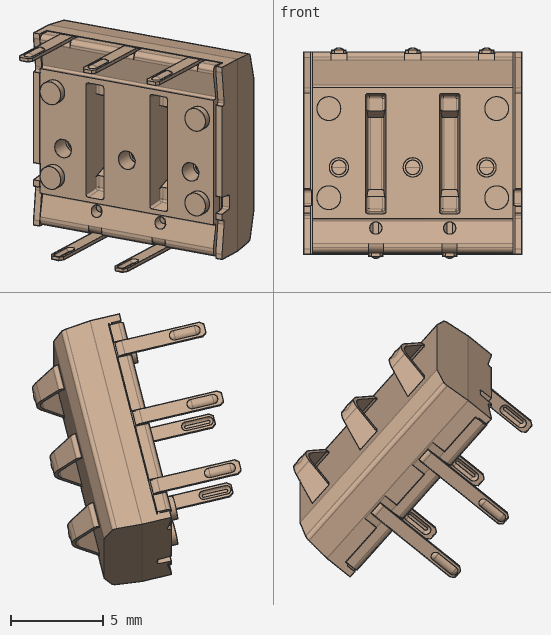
import cadquery as cq


shell_width = 11.82
shell_half_height = 5.47
shell_edge_y = 0.11
shell_lip_y = 0.83
shell_draft_y = 1.75
shell_back_y = 3.82
shell_back_half_width = 5.73
shell_corner_y = 3.32
shell_corner_z = 5.34
shell_corner_radius = 0.3
shell_back_half_height = 3.78
wall_inner_x = 5.52

wall_recess_y = 0.32
wall_flat_z = 5.18
wall_recess_z = 3.52
wall_step_z = 3.25
wall_step_radius = 0.12

window_z = -2.41
window_mouth = 0.99
window_floor = 0.8
window_floor_y = 0.89
window_fillet = 0.11
window_chamfer_x = 0.05
window_chamfer_y = 0.78

base_half_width = 5.43
base_top_z = 5.46
base_bottom_z = -5.39
base_top_radius = 0.27
base_bottom_radius = 0.28
gap_floor_y = 0.64
slope_top_z = 5.04
slope_bottom_z = -4.89
slope_depth = 0.26
step_z = 3.55
step_radius = 0.13

peg_x = 4.54
peg_z = 2.41
peg_diameter = 1.29
peg_height = 0.43

pitch = 4.0
upper_columns = (-pitch, 0.0, pitch)
lower_columns = (-pitch / 2, pitch / 2)

pin_thickness = 0.19
pin_tip_chamfer_x = 0.15
pin_tip_chamfer_y = 0.21
rib_height = 0.12
groove_depth = 0.17
groove_arc_depth = 0.18

upper_pin_top_z = 5.58
upper_pin_tip_y = -4.18
upper_pin_bend_y = 0.37
upper_pin_width = 0.79
upper_rib_y = -3.06
upper_rib_length = 1.7
upper_rib_width = 0.53
upper_bend_radius = 0.46

lower_pin_tip_y = -4.22
lower_pin_bend_y = 1.35
lower_pin_width = 0.77
lower_rib_y = -3.27
lower_rib_length = 1.75
lower_rib_width = 0.48
lower_bend_radius = 0.35

upper_saddle_width = 0.87
lower_saddle_width = 0.82
saddle_flat = 0.01
seam_width = 0.05
seam_depth = 0.07
lower_notch_width = 1.69
lower_notch_back_y = 1.65

eye_z = -0.77
eye_diameter = 1.04
eye_step_depth = 1.18
eye_inner_diameter = 0.78
eye_floor_y = 1.89
eye_floor_rise = 0.3
eye_floor_drop = 0.47
slot_width = 1.11
slot_length = 6.51
slot_z = -0.02
slot_corner = 0.14
slot_pad_depth = 1.06
slot_pad_width = 0.96
slot_pad_length = 6.22
trough_depth = 1.89
trough_mouth_length = 5.55
trough_floor_width = slot_width - (slot_width - slot_pad_width) * trough_depth / slot_pad_depth
trough_floor_length = 3.9
slot_floor_fillet = 0.13
vent_z = -4.05
vent_diameter = 0.66
vent_depth = 0.71
vent_groove_width = 0.28
vent_groove_depth = 0.21

spring_thickness = 0.2
spring_apex_y = 5.31
spring_apex_z = 0.04
spring_root_y = 3.66
spring_upper_root_z = 2.64
spring_upper_bend_y = 3.85
spring_upper_arm_y = 4.04
spring_upper_arm_z = 2.55
spring_bow_y = 5.0
spring_bow_upper_z = 0.8
spring_bow_lower_z = -0.79
spring_lower_root_z = -2.93
spring_apex_width = 1.02
spring_back_width = 1.4
dimple_height = 0.05
dimple_diameter = 0.53


def box(x0, x1, y0, y1, z0, z1):
    """Box between opposite corners."""
    return cq.Workplane("XY").box(x1 - x0, y1 - y0, z1 - z0, centered=False).translate((x0, y0, z0))


def prism_along_x(profile, width):
    """Extrude a YZ profile symmetrically about X = 0."""
    return profile.extrude(width / 2, both=True)


def front_cylinder(x, z, diameter, y0, y1):
    """Cylinder along Y between y0 and y1."""
    return cq.Workplane("XZ", origin=(x, y0, z)).circle(diameter / 2).extrude(y0 - y1)


def shell_block():
    """Outer shell, its side walls reaching further forward than its top and bottom walls."""
    top = shell_half_height
    outline = (
        cq.Workplane("YZ")
        .moveTo(shell_edge_y, -top)
        .lineTo(shell_draft_y, -top)
        .lineTo(shell_corner_y, -shell_corner_z)
        .lineTo(shell_back_y, -shell_back_half_height)
        .lineTo(shell_back_y, shell_back_half_height)
        .lineTo(shell_corner_y, shell_corner_z)
        .lineTo(shell_draft_y, top)
        .lineTo(shell_edge_y, top)
        .lineTo(shell_edge_y, wall_flat_z)
        .lineTo(wall_recess_y, wall_recess_z)
        .lineTo(wall_recess_y, wall_step_z + wall_step_radius)
        .radiusArc((wall_recess_y - wall_step_radius, wall_step_z), wall_step_radius)
        .lineTo(shell_edge_y, wall_step_z)
        .lineTo(shell_edge_y, -wall_step_z)
        .lineTo(wall_recess_y - wall_step_radius, -wall_step_z)
        .radiusArc((wall_recess_y, -wall_step_z - wall_step_radius), wall_step_radius)
        .lineTo(wall_recess_y, -wall_recess_z)
        .lineTo(shell_edge_y, -wall_flat_z)
        .close()
    )
    block = prism_along_x(outline, shell_width)
    corners = cq.selectors.BoxSelector(
        (-shell_width, shell_corner_y - shell_corner_radius, -shell_half_height),
        (shell_width, shell_corner_y + shell_corner_radius, shell_half_height),
    )
    block = block.edges("|X").edges(corners).fillet(shell_corner_radius)

    half = shell_width / 2
    back_half = shell_back_half_width
    plan = cq.Workplane("XY").polyline([
        (-half, 0), (half, 0), (half, shell_draft_y), (back_half, shell_back_y),
        (-back_half, shell_back_y), (-half, shell_draft_y),
    ]).close()
    block = block.intersect(plan.extrude(shell_half_height, both=True))

    mouth = box(-base_half_width, base_half_width, 0, shell_lip_y, -top, top)
    block = block.cut(mouth)
    gap = box(base_half_width, wall_inner_x, 0, gap_floor_y, -top, top)
    return block.cut(gap).cut(gap.mirror("YZ"))


def lower_notch(x):
    """Ramp in the bottom wall leading down from the base to the outside around a lower pin."""
    ramp = cq.Workplane("YZ").polyline([
        (shell_lip_y, base_bottom_z), (lower_notch_back_y, -shell_half_height),
        (shell_lip_y, -shell_half_height),
    ]).close()
    return prism_along_x(ramp, lower_notch_width).translate((x, 0, 0))


def side_windows():
    """Tapered snap windows through both side walls."""
    profile = cq.Workplane("YZ").polyline([
        (0, window_z - window_mouth / 2), (window_floor_y, window_z - window_floor / 2),
        (window_floor_y, window_z + window_floor / 2), (0, window_z + window_mouth / 2),
    ]).close()
    through = prism_along_x(profile, shell_width).faces(">Y").edges("|X").fillet(window_fillet)
    chamfer_half = base_half_width + window_chamfer_x
    core = cq.Workplane("XY").polyline([
        (-base_half_width, 0), (base_half_width, 0), (base_half_width, gap_floor_y),
        (chamfer_half, window_chamfer_y), (chamfer_half, shell_draft_y), (-chamfer_half, shell_draft_y),
        (-chamfer_half, window_chamfer_y), (-base_half_width, gap_floor_y),
    ]).close()
    return through.cut(core.extrude(shell_half_height, both=True))


def base_block(width, top_z, top_radius, bottom_radius):
    """Base with a sloped recess above and below its raised middle."""
    profile = (
        cq.Workplane("YZ")
        .moveTo(shell_lip_y, top_z)
        .lineTo(top_radius, top_z)
        .radiusArc((0, top_z - top_radius), -top_radius)
        .lineTo(0, slope_top_z)
        .lineTo(slope_depth, step_z + step_radius)
        .radiusArc((slope_depth - step_radius, step_z), step_radius)
        .lineTo(0, step_z)
        .lineTo(0, -step_z)
        .lineTo(slope_depth - step_radius, -step_z)
        .radiusArc((slope_depth, -step_z - step_radius), step_radius)
        .lineTo(0, slope_bottom_z)
        .lineTo(0, base_bottom_z + bottom_radius)
        .radiusArc((bottom_radius, base_bottom_z), -bottom_radius)
        .lineTo(shell_lip_y, base_bottom_z)
        .close()
    )
    return prism_along_x(profile, width)


def base_with_saddles():
    """Base relieved at each pin: lowered under the upper pins, rounded more above the lower pins."""
    base = base_block(2 * base_half_width, base_top_z, base_top_radius, base_bottom_radius)
    saddle_z = upper_pin_top_z - pin_thickness
    upper_radius = saddle_z - slope_top_z - saddle_flat
    lower_radius = slope_bottom_z - base_bottom_z - saddle_flat
    upper_saddle = base_block(upper_saddle_width, saddle_z, upper_radius, base_bottom_radius)
    lower_saddle = base_block(lower_saddle_width, base_top_z, base_top_radius, lower_radius)
    for x in upper_columns:
        half = upper_saddle_width / 2
        relief = box(x - half, x + half, 0, shell_lip_y, slope_top_z, base_top_z)
        base = base.cut(relief).union(upper_saddle.translate((x, 0, 0)))
    for x in lower_columns:
        half = lower_saddle_width / 2
        relief = box(x - half, x + half, 0, shell_lip_y, base_bottom_z, slope_bottom_z)
        base = base.cut(relief).union(lower_saddle.translate((x, 0, 0)))
    return base


def rect_loft(x, y0, size0, y1, size1):
    """Tapered pocket tool between two rectangles, each given as (width, height)."""
    return (
        cq.Workplane("XZ", origin=(x, y0, slot_z))
        .rect(*size0)
        .workplane(offset=y0 - y1)
        .rect(*size1)
        .loft(combine=True)
    )


def slot_tool(x):
    """Drafted slot with a shallow pad at each end and a deeper trough between them."""
    mouth = rect_loft(x, 0, (slot_width, slot_length), slot_pad_depth, (slot_pad_width, slot_pad_length))
    mouth = mouth.edges("not(|X or |Z)").fillet(slot_corner).faces(">Y").edges().fillet(slot_floor_fillet)
    trough = rect_loft(
        x, 0, (slot_width, trough_mouth_length),
        trough_depth, (trough_floor_width, trough_floor_length),
    )
    trough = trough.faces(">Y").edges("|Z").fillet(slot_floor_fillet)
    return mouth.union(trough)


def eye_tool(x):
    """Stepped blind hole ending on a folded, sloping floor."""
    outer = front_cylinder(x, eye_z, eye_diameter, 0, eye_step_depth)
    radius = eye_inner_diameter / 2
    deepest_y = eye_floor_y + eye_floor_rise
    inner = front_cylinder(x, eye_z, eye_inner_diameter, 0, deepest_y)
    floor = cq.Workplane("YZ").polyline([
        (0, eye_z - radius), (eye_floor_y - eye_floor_drop, eye_z - radius),
        (eye_floor_y, eye_z), (deepest_y, eye_z + radius), (0, eye_z + radius),
    ]).close()
    return outer.union(inner.intersect(prism_along_x(floor, shell_width)))


def vent_tool(x):
    """Round blind hole whose floor is a flat-bottomed groove running along Z."""
    floor_y = vent_depth + vent_groove_depth
    half = vent_diameter / 2
    groove_half = vent_groove_width / 2
    plan = cq.Workplane("XY").polyline([
        (x - half, 0), (x + half, 0), (x + half, vent_depth),
        (x + groove_half, floor_y), (x - groove_half, floor_y), (x - half, vent_depth),
    ]).close()
    hole = front_cylinder(x, vent_z, vent_diameter, 0, floor_y)
    return hole.intersect(plan.extrude(shell_half_height, both=True))


def domed_bar(length, width, height):
    """Low dome on the XY plane, running along Y with spherical ends."""
    radius = (width ** 2 / 4 + height ** 2) / (2 * height)
    straight = length - width
    centre_z = height - radius
    bar = cq.Workplane("XZ").center(0, centre_z).circle(radius).extrude(straight / 2, both=True)
    for end in (-1, 1):
        bar = bar.union(cq.Workplane("XY").sphere(radius).translate((0, end * straight / 2, centre_z)))
    return bar.intersect(box(-width, width, -length, length, 0, height))


def pin(width, tip_y, bend_y, bend_radius, rib_y, rib_length, rib_width):
    """Flat pin whose outer face is at Z = 0, embossed outward near its tip, bent down at its root."""
    root_y = bend_y + bend_radius
    side = (
        cq.Workplane("YZ")
        .moveTo(tip_y, 0)
        .lineTo(bend_y, 0)
        .radiusArc((root_y, -bend_radius), bend_radius)
        .lineTo(root_y - pin_thickness, -bend_radius)
        .radiusArc((bend_y, -pin_thickness), -(bend_radius - pin_thickness))
        .lineTo(tip_y, -pin_thickness)
        .close()
    )
    half = width / 2
    tip_half = half - pin_tip_chamfer_x
    shoulder_y = tip_y + pin_tip_chamfer_y
    plan = cq.Workplane("XY").polyline([
        (-tip_half, tip_y), (tip_half, tip_y), (half, shoulder_y), (half, root_y),
        (-half, root_y), (-half, shoulder_y),
    ]).close()
    blade = prism_along_x(side, width).intersect(plan.extrude(bend_radius, both=True))
    rib = domed_bar(rib_length, rib_width, rib_height).translate((0, rib_y, 0))
    groove = domed_bar(rib_length, rib_width, groove_arc_depth)
    groove = groove.intersect(box(-width, width, -rib_length, rib_length, 0, groove_depth))
    groove = groove.translate((0, rib_y, -pin_thickness))
    return blade.union(rib).cut(groove)


def spring():
    """Bowed contact strip with a shallow dimple at its apex, tapering towards the apex."""
    mid_apex_y = spring_apex_y - spring_thickness / 2
    strip = (
        cq.Workplane("YZ")
        .moveTo(spring_root_y, spring_upper_root_z)
        .lineTo(spring_upper_bend_y, spring_upper_root_z)
        .tangentArcPoint((spring_upper_arm_y, spring_upper_arm_z), relative=False)
        .lineTo(spring_bow_y, spring_bow_upper_z)
        .threePointArc((mid_apex_y, spring_apex_z), (spring_bow_y, spring_bow_lower_z))
        .lineTo(spring_root_y, spring_lower_root_z)
        .offset2D(spring_thickness / 2)
    )
    taper = (spring_back_width - spring_apex_width) / (spring_apex_y - shell_back_y)
    root_half = (spring_back_width + taper * (shell_back_y - spring_root_y)) / 2
    apex_half = spring_apex_width / 2
    plan = cq.Workplane("XY").polyline([
        (-root_half, spring_root_y), (root_half, spring_root_y),
        (apex_half, spring_apex_y), (-apex_half, spring_apex_y),
    ]).close()
    body = prism_along_x(strip, 2 * root_half).intersect(plan.extrude(shell_half_height, both=True))
    dimple_radius = (dimple_diameter ** 2 / 4 + dimple_height ** 2) / (2 * dimple_height)
    ball_y = spring_apex_y + dimple_height - dimple_radius
    ball = cq.Workplane("XY").sphere(dimple_radius).translate((0, ball_y, spring_apex_z))
    cap = ball.intersect(box(
        -dimple_diameter, dimple_diameter, mid_apex_y, shell_back_y + shell_width,
        -dimple_diameter, dimple_diameter,
    ))
    return body.union(cap)


housing = shell_block().cut(side_windows()).union(base_with_saddles())
housing = housing.cut(box(
    -wall_inner_x, wall_inner_x, shell_lip_y - seam_width, shell_lip_y,
    base_top_z - seam_depth, shell_half_height,
))
for x in (-peg_x, peg_x):
    for z in (-peg_z, peg_z):
        housing = housing.union(front_cylinder(x, z, peg_diameter, -peg_height, shell_lip_y))

for x in upper_columns:
    housing = housing.cut(eye_tool(x))
for x in lower_columns:
    housing = housing.cut(slot_tool(x))
    housing = housing.cut(vent_tool(x)).cut(lower_notch(x))

upper_pin = pin(
    upper_pin_width, upper_pin_tip_y, upper_pin_bend_y, upper_bend_radius,
    upper_rib_y, upper_rib_length, upper_rib_width,
).translate((0, 0, upper_pin_top_z))
lower_pin = pin(
    lower_pin_width, lower_pin_tip_y, lower_pin_bend_y, lower_bend_radius,
    lower_rib_y, lower_rib_length, lower_rib_width,
).mirror("XY").translate((0, 0, -upper_pin_top_z))
contact = spring()

result = housing
for x in upper_columns:
    result = result.union(upper_pin.translate((x, 0, 0))).union(contact.translate((x, 0, 0)))
for x in lower_columns:
    result = result.union(lower_pin.translate((x, 0, 0)))